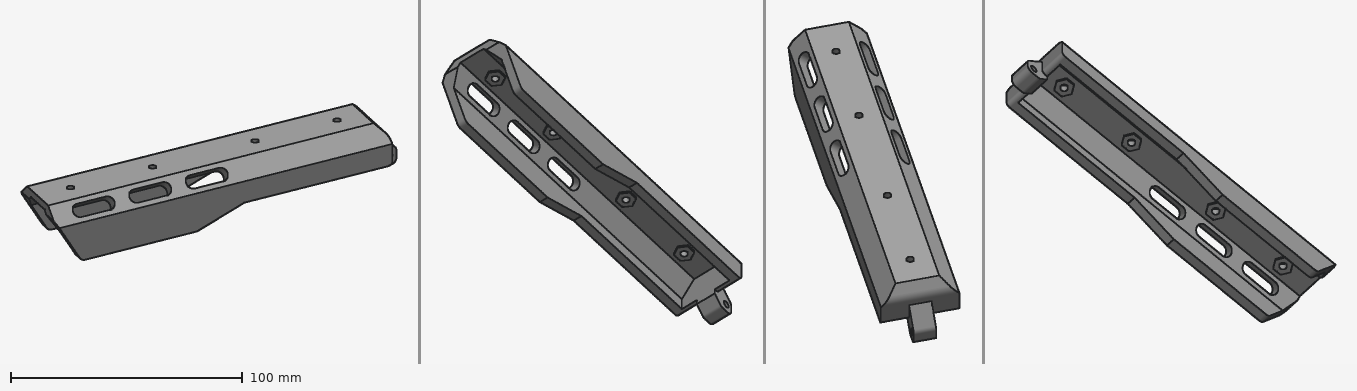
import cadquery as cq
import math

LENGTH = 172.6
WIDTH = 35.0
HEIGHT = 26.5

TOP_CHAMFER = 7.8
SIDE_WALL = 4.3
ROOF_THICKNESS = 3.6
CEILING_WIDTH = 12.8
INNER_SHOULDER_DROP = 11.9

TAIL_OVERHANG = 8.6
REAR_DEPTH = 18.3
RAMP_START_Y = 68.5
RAMP_END_Y = 91.8
FRONT_LIP = 5.4
FRONT_RAKE = 30.0
REAR_BEVEL = 5.2
REAR_BEVEL_BLEND = 5.2
FRONT_CORNER_RADIUS = 3.0
REAR_CORNER_RADIUS = 2.0
END_WALL = 3.0

TAIL_WIDTH = 10.0
TAIL_DEPTH = 25.5
TAIL_HEEL = 4.7
TAIL_SHOULDER_DEPTH = 18.1
TAIL_TIP_RADIUS = 3.0
TAIL_HEEL_RADIUS = 2.0
TAIL_HOLE_INSET = 3.6
TAIL_HOLE_DEPTH = 21.0

HOLE_DIAMETER = 3.3
HOLE_Y = (16.0, 56.1, 106.2, 146.2)
PAD_FLATS = 7.8
PAD_HEIGHT = 1.0

SLOT_LENGTH = 20.2
SLOT_WIDTH = 6.2
SLOT_FIRST_Y = 20.2
SLOT_PITCH = 27.6
SLOT_COUNT = 3
SLOT_CUT_DEPTH = 10.4

BODY_LENGTH = LENGTH - TAIL_OVERHANG
CEILING_Z = HEIGHT - ROOF_THICKNESS


def side_prism(points, width):
    """Extrude a (Y, Z) outline across X, centred on X = 0."""
    return cq.Workplane("YZ").polyline(points).close().extrude(width / 2, both=True)


def round_corner(prism, y, z, radius):
    """Round the one edge along X that passes through (y, z)."""
    corner_edge = cq.selectors.NearestToPointSelector((0, y, z))
    return prism.edges("|X").edges(corner_edge).fillet(radius)


def roof_section(half_width, shoulder_z, half_top, top_z):
    """Upright section with a flat top and sloped shoulders, run along the whole cover."""
    points = [
        (-half_width, 0),
        (-half_width, shoulder_z),
        (-half_top, top_z),
        (half_top, top_z),
        (half_width, shoulder_z),
        (half_width, 0),
    ]
    return cq.Workplane("XZ").polyline(points).close().extrude(-BODY_LENGTH)


def side_outline():
    """Side outline of the cover, with its corners rounded."""
    rake_run = (HEIGHT - FRONT_LIP) * math.tan(math.radians(FRONT_RAKE))
    rear_z = HEIGHT - REAR_DEPTH
    bevel_z = HEIGHT - REAR_BEVEL
    points = [
        (0, HEIGHT),
        (0, HEIGHT - FRONT_LIP),
        (rake_run, 0),
        (RAMP_START_Y, 0),
        (RAMP_END_Y, rear_z),
        (BODY_LENGTH, rear_z),
        (BODY_LENGTH, bevel_z),
        (BODY_LENGTH - REAR_BEVEL, HEIGHT),
    ]
    outline = side_prism(points, WIDTH)
    outline = round_corner(outline, rake_run, 0, FRONT_CORNER_RADIUS)
    outline = round_corner(outline, BODY_LENGTH, rear_z, REAR_CORNER_RADIUS)
    return round_corner(outline, BODY_LENGTH, bevel_z, REAR_BEVEL_BLEND)


def cover():
    """Hollow cover, open at the front and below, closed by a wall at the rear."""
    outer = roof_section(WIDTH / 2, HEIGHT - TOP_CHAMFER, WIDTH / 2 - TOP_CHAMFER, HEIGHT)
    inner = roof_section(
        WIDTH / 2 - SIDE_WALL, HEIGHT - INNER_SHOULDER_DROP, CEILING_WIDTH / 2, CEILING_Z
    )
    return outer.intersect(side_outline()).cut(inner.translate((0, -END_WALL, 0)))


def tail():
    """Hanging tail behind the rear wall, flush with the inside of that wall."""
    inside_y = BODY_LENGTH - END_WALL
    bottom_z = HEIGHT - TAIL_DEPTH
    shoulder_z = HEIGHT - TAIL_SHOULDER_DEPTH
    root_z = shoulder_z + TAIL_OVERHANG
    points = [
        (inside_y, root_z),
        (inside_y, bottom_z + TAIL_HEEL),
        (inside_y + TAIL_HEEL, bottom_z),
        (LENGTH, bottom_z),
        (LENGTH, shoulder_z),
        (BODY_LENGTH, root_z),
    ]
    body = side_prism(points, TAIL_WIDTH)
    body = round_corner(body, inside_y + TAIL_HEEL, bottom_z, TAIL_HEEL_RADIUS)
    body = round_corner(body, LENGTH, bottom_z, TAIL_TIP_RADIUS)
    body = round_corner(body, LENGTH, shoulder_z, TAIL_TIP_RADIUS)
    hole = (
        cq.Workplane("YZ")
        .center(LENGTH - TAIL_HOLE_INSET, HEIGHT - TAIL_HOLE_DEPTH)
        .circle(HOLE_DIAMETER / 2)
        .extrude(TAIL_WIDTH, both=True)
    )
    return body.cut(hole)


def hexagon_pads():
    """Pads under the ceiling, one corner toward the front, reaching half way into the roof."""
    pad_z = CEILING_Z - PAD_HEIGHT
    corner_diameter = PAD_FLATS / math.cos(math.radians(30))
    return (
        cq.Workplane("XY", origin=(0, 0, pad_z))
        .pushPoints([(y, 0) for y in HOLE_Y])
        .polygon(6, corner_diameter)
        .extrude(PAD_HEIGHT + ROOF_THICKNESS / 2)
        .rotate((0, 0, 0), (0, 0, 1), 90)
    )


def roof_holes():
    """Screw holes down through the roof and the pads."""
    return (
        cq.Workplane("XY", origin=(0, 0, HEIGHT))
        .pushPoints([(0, y) for y in HOLE_Y])
        .circle(HOLE_DIAMETER / 2)
        .extrude(-HEIGHT / 2)
    )


def slots(side):
    """Round-ended slots square to one sloped face; side is +1 for +X and -1 for -X."""
    face_center = (side * (WIDTH - TOP_CHAMFER) / 2, 0, HEIGHT - TOP_CHAMFER / 2)
    plane = cq.Plane(origin=face_center, xDir=(0, 1, 0), normal=(side, 0, 1))
    places = [(SLOT_FIRST_Y + i * SLOT_PITCH, 0) for i in range(SLOT_COUNT)]
    return (
        cq.Workplane(plane)
        .pushPoints(places)
        .slot2D(SLOT_LENGTH, SLOT_WIDTH)
        .extrude(-SLOT_CUT_DEPTH)
    )


result = cover().union(tail()).union(hexagon_pads()).cut(roof_holes())
for side in (-1, 1):
    result = result.cut(slots(side))